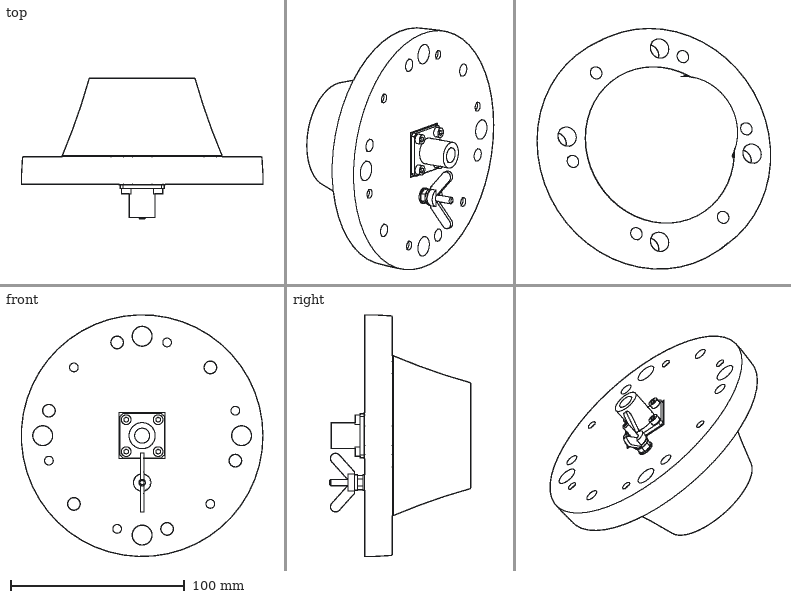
import cadquery as cq
import math


FLANGE_RADIUS = 69.5
STRAIGHT_RIM_WIDTH = 6.0
DRAFTED_RIM_WIDTH = 10.0
RIM_DRAFT = 3.5
FLANGE_BACK_FILLET = 1.0

CONE_BASE_RADIUS = 46.0
CONE_COLLAR_HEIGHT = 0.5
CONE_TIP_RADIUS = 30.5
CONE_HEIGHT = 45.0
CONE_FLARE_DEPTH = 0.8
CONE_TIP_FILLET = 0.7

LARGE_HOLE_DIAMETER = 11.3
LARGE_HOLE_CIRCLE_RADIUS = 57.1
LARGE_HOLE_COUNT = 4
BOLT_CIRCLE_RADIUS = 55.5
BOLT_HOLE_COUNT = 6
BOLT_HOLE_DIAMETER = 7.1
BOLT_HOLE_START = 45.0
BLIND_HOLE_DIAMETER = 5.0
BLIND_HOLE_DEPTH = 2.0
BLIND_HOLE_START = 15.0

GASKET_SIDE = 26.4
GASKET_THICKNESS = 0.4
CONNECTOR_SIDE = 25.5
CONNECTOR_THICKNESS = 2.1
CONNECTOR_CORNER_CHAMFER = 1.7
BARREL_DIAMETER = 15.0
BARREL_LENGTH = 16.7
BARREL_BORE = 8.6
SCREW_SPACING = 18.3
SCREW_HEAD_DIAMETER = 5.5
SCREW_HEAD_HEIGHT = 2.9
SCREW_SOCKET_WIDTH = 2.5
SCREW_SOCKET_DEPTH = 1.5

STUD_Z = -27.0
STUD_DIAMETER = 3.8
STUD_LENGTH = 20.0
STUD_CHAMFER = 0.7
WASHER_DIAMETER = 9.0
WASHER_THICKNESS = 0.8
NUT_ACROSS_CORNERS = 8.3
NUT_HEIGHT = 3.2
SPRING_WASHER_DIAMETER = 9.0
SPRING_WASHER_THICKNESS = 1.7
HUB_DIAMETER = 10.0
HUB_HEIGHT = 3.9
WING_WIDTH = 6.0
WING_THICKNESS = 2.1
WING_ANGLE = 42.0
WING_TIP_Y = -16.7
WING_TIP_RISE = 13.9

CUT_MARGIN = 1.4

flange_back_y = STRAIGHT_RIM_WIDTH + DRAFTED_RIM_WIDTH
cone_tip_y = flange_back_y + CONE_HEIGHT
connector_y = -(GASKET_THICKNESS + CONNECTOR_THICKNESS)
nut_y = -WASHER_THICKNESS
spring_washer_y = nut_y - NUT_HEIGHT
hub_y = spring_washer_y - SPRING_WASHER_THICKNESS


def facing_out(y, z=0.0):
    """Workplane at height y whose extrusions run towards -Y."""
    return cq.Workplane("XZ", origin=(0, y, z))


def disc(diameter, length, y, z=0.0):
    """Cylinder that starts at y and runs towards -Y."""
    return facing_out(y, z).circle(diameter / 2).extrude(length)


def ring_of_pins(diameter, radius, count, start_angle, back_y):
    """Ring of cutting cylinders from back_y out past the flange's front face."""
    pins = facing_out(back_y).polarArray(radius, start_angle, 360, count)
    return pins.circle(diameter / 2).extrude(back_y + CUT_MARGIN)


def make_flange():
    """Round flange with large holes, bolt holes and shallow blind holes."""
    back_radius = FLANGE_RADIUS - DRAFTED_RIM_WIDTH * math.tan(math.radians(RIM_DRAFT))
    blank = (
        cq.Workplane("XY")
        .lineTo(FLANGE_RADIUS, 0)
        .lineTo(FLANGE_RADIUS, STRAIGHT_RIM_WIDTH)
        .lineTo(back_radius, flange_back_y)
        .lineTo(0, flange_back_y)
        .close()
        .revolve(360, (0, 0, 0), (0, 1, 0))
        .faces(">Y")
        .edges()
        .fillet(FLANGE_BACK_FILLET)
    )
    through_y = flange_back_y + CUT_MARGIN
    large_holes = ring_of_pins(
        LARGE_HOLE_DIAMETER, LARGE_HOLE_CIRCLE_RADIUS, LARGE_HOLE_COUNT, 0, through_y
    )
    bolt_holes = ring_of_pins(
        BOLT_HOLE_DIAMETER, BOLT_CIRCLE_RADIUS, BOLT_HOLE_COUNT, BOLT_HOLE_START, through_y
    )
    blind_holes = ring_of_pins(
        BLIND_HOLE_DIAMETER, BOLT_CIRCLE_RADIUS, BOLT_HOLE_COUNT, BLIND_HOLE_START, BLIND_HOLE_DEPTH
    )
    return blank.cut(large_holes).cut(bolt_holes).cut(blind_holes)


def make_cone():
    """Flared cone standing on the flange's back face."""
    collar_y = flange_back_y + CONE_COLLAR_HEIGHT
    flare_middle = (
        (CONE_BASE_RADIUS + CONE_TIP_RADIUS) / 2 - CONE_FLARE_DEPTH,
        (collar_y + cone_tip_y) / 2,
    )
    return (
        cq.Workplane("XY")
        .moveTo(0, flange_back_y)
        .lineTo(CONE_BASE_RADIUS, flange_back_y)
        .lineTo(CONE_BASE_RADIUS, collar_y)
        .threePointArc(flare_middle, (CONE_TIP_RADIUS, cone_tip_y))
        .lineTo(0, cone_tip_y)
        .close()
        .revolve(360, (0, 0, 0), (0, 1, 0))
        .faces(">Y")
        .edges()
        .fillet(CONE_TIP_FILLET)
    )


def make_connector():
    """Square connector on a thin gasket, with four socket screws and a bored barrel."""
    gasket = facing_out(0).rect(GASKET_SIDE, GASKET_SIDE).extrude(GASKET_THICKNESS)
    base = (
        facing_out(-GASKET_THICKNESS)
        .rect(CONNECTOR_SIDE, CONNECTOR_SIDE)
        .extrude(CONNECTOR_THICKNESS)
        .edges("|Y")
        .chamfer(CONNECTOR_CORNER_CHAMFER)
    )
    barrel = facing_out(connector_y).circle(BARREL_DIAMETER / 2).circle(BARREL_BORE / 2).extrude(BARREL_LENGTH)
    screw_heads = (
        facing_out(connector_y)
        .rect(SCREW_SPACING, SCREW_SPACING, forConstruction=True)
        .vertices()
        .circle(SCREW_HEAD_DIAMETER / 2)
        .extrude(SCREW_HEAD_HEIGHT)
    )
    sockets = (
        facing_out(connector_y - SCREW_HEAD_HEIGHT + SCREW_SOCKET_DEPTH)
        .rect(SCREW_SPACING, SCREW_SPACING, forConstruction=True)
        .vertices()
        .polygon(6, SCREW_SOCKET_WIDTH, circumscribed=True)
        .extrude(SCREW_SOCKET_DEPTH)
    )
    return gasket.union(base).union(barrel).union(screw_heads.cut(sockets))


def make_wing():
    """Upper wing: a slanted bar with a round tip, cut off level with the hub's base."""
    slant = math.radians(WING_ANGLE)
    along_y, along_z = -math.sin(slant), math.cos(slant)
    half = WING_WIDTH / 2
    side_y, side_z = half * along_z, -half * along_y
    root_y = WING_TIP_Y - along_y / along_z * WING_TIP_RISE
    bar = (
        cq.Workplane("YZ", origin=(-WING_THICKNESS / 2, 0, STUD_Z))
        .moveTo(root_y + side_y, side_z)
        .lineTo(WING_TIP_Y + side_y, WING_TIP_RISE + side_z)
        .threePointArc(
            (WING_TIP_Y + half * along_y, WING_TIP_RISE + half * along_z),
            (WING_TIP_Y - side_y, WING_TIP_RISE - side_z),
        )
        .lineTo(root_y - side_y, -side_z)
        .close()
        .extrude(WING_THICKNESS)
    )
    clear_of_base = disc(4 * WING_TIP_RISE, STUD_LENGTH, hub_y, STUD_Z)
    return bar.intersect(clear_of_base)


def make_ground_stud():
    """Stud carrying a washer, a hex nut, a spring washer and a wing nut."""
    stud = disc(STUD_DIAMETER, STUD_LENGTH, 0, STUD_Z).faces("<Y").edges().chamfer(STUD_CHAMFER)
    washer = disc(WASHER_DIAMETER, WASHER_THICKNESS, 0, STUD_Z)
    nut = (
        facing_out(nut_y, STUD_Z)
        .transformed(rotate=(0, 0, 90))
        .polygon(6, NUT_ACROSS_CORNERS)
        .extrude(NUT_HEIGHT)
    )
    spring_washer = disc(SPRING_WASHER_DIAMETER, SPRING_WASHER_THICKNESS, spring_washer_y, STUD_Z)
    hub = disc(HUB_DIAMETER, HUB_HEIGHT, hub_y, STUD_Z)
    upper_wing = make_wing()
    lower_wing = upper_wing.mirror("XY", (0, 0, STUD_Z))
    return stud.union(washer).union(nut).union(spring_washer).union(hub).union(upper_wing).union(lower_wing)


cone = make_cone()
flange_assembly = make_flange().union(make_connector()).union(make_ground_stud())

result = cq.Compound.makeCompound([cone.solids().val(), flange_assembly.solids().val()])